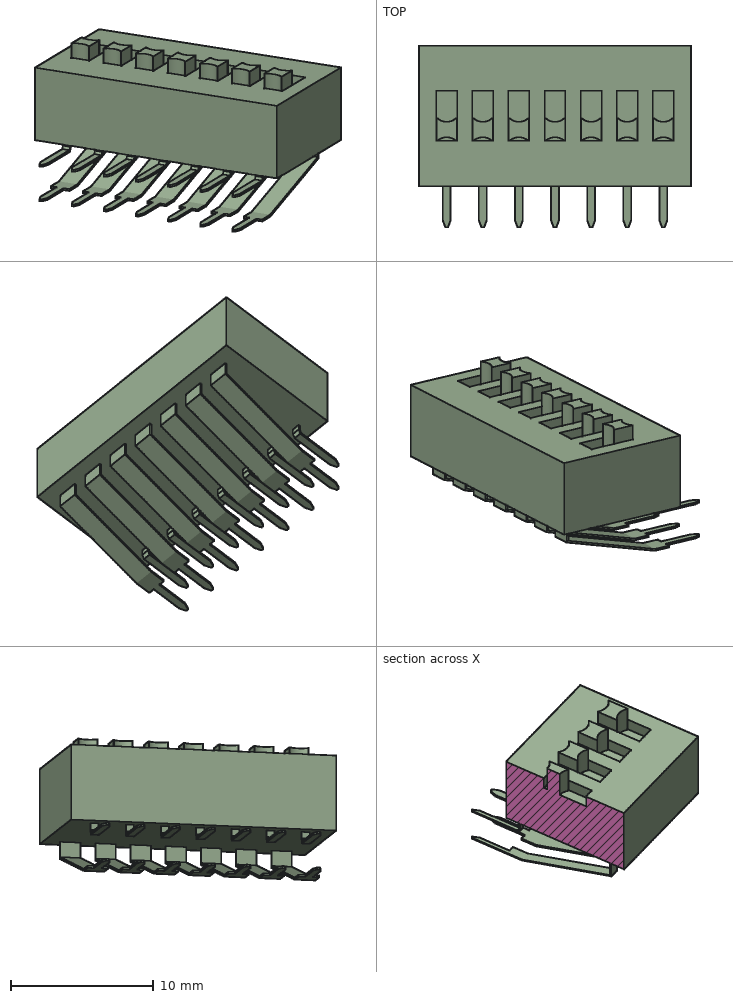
import cadquery as cq
import math

body_length = 19.14
body_width = 9.9
body_height = 5.37

switch_count = 7
pitch = 2.54

window_length = 3.52
window_width = 1.47
window_depth = 0.92

knob_length = 1.6
knob_clearance = 0.03
knob_rise = 1.05
knob_land = 0.04
knob_scoop = 0.26

lead_thickness = 0.15
lead_width = 0.57
tip_width = 0.19
tip_taper_length = 0.5
tip_overhang = 2.9
lead_embed = 0.5

wide_lead_width = 1.47
front_lead_y = -3.725
front_lead_bend_z = -0.5
front_lead_foot_y = -3.89
front_lead_drop = 0.83
rear_lead_y = 3.88
rear_lead_bend_z = -1.2
rear_lead_foot_y = -3.6
rear_lead_drop = 3.39
shoulder_y = -4.85

front_y = -body_width / 2
tip_y = front_y - tip_overhang
taper_y = tip_y + tip_taper_length
window_front_y = -window_length / 2
window_floor_z = body_height - window_depth
knob_width = window_width - 2 * knob_clearance
switch_xs = [(i - (switch_count - 1) / 2) * pitch for i in range(switch_count)]


def make_body():
    body = cq.Workplane("XY").box(body_length, body_width, body_height, centered=(True, True, False))
    windows = (
        cq.Workplane("XY", origin=(0, 0, window_floor_z))
        .pushPoints([(x, 0) for x in switch_xs])
        .rect(window_width, window_length)
        .extrude(window_depth)
    )
    return body.cut(windows)


def make_knob():
    """Slider knob standing at the front end of the window, with scooped front and back faces."""
    half_width = knob_width / 2
    half_scoop = half_width - knob_land
    back_y = window_front_y + knob_length
    return (
        cq.Workplane("XY", origin=(0, 0, window_floor_z))
        .moveTo(-half_width, window_front_y)
        .lineTo(-half_scoop, window_front_y)
        .threePointArc((0, window_front_y + knob_scoop), (half_scoop, window_front_y))
        .lineTo(half_width, window_front_y)
        .lineTo(half_width, back_y)
        .lineTo(half_scoop, back_y)
        .threePointArc((0, back_y - knob_scoop), (-half_scoop, back_y))
        .lineTo(-half_width, back_y)
        .close()
        .extrude(window_depth + knob_rise)
    )


def bent_strip(vertical_y, bend_z, foot_y, drop):
    """Side profile of a lead: down, sloping forward, then level to the tip, swept over the widest lead."""
    slope = math.atan2(drop + bend_z, vertical_y - foot_y)
    upper_miter = lead_thickness * math.tan((math.pi / 2 - slope) / 2)
    lower_miter = lead_thickness * math.tan(slope / 2)
    inner_y = vertical_y - lead_thickness
    inner_z = lead_thickness - drop
    outline = [
        (vertical_y, lead_embed),
        (vertical_y, bend_z),
        (foot_y, -drop),
        (tip_y, -drop),
        (tip_y, inner_z),
        (foot_y - lower_miter, inner_z),
        (inner_y, bend_z + upper_miter),
        (inner_y, lead_embed),
    ]
    return cq.Workplane("YZ").polyline(outline).close().extrude(wide_lead_width / 2, both=True)


def lead_plan(drop):
    """Prism of the narrow lead as seen from above, with its tapered tip."""
    half_lead = lead_width / 2
    half_tip = tip_width / 2
    outline = [
        (half_lead, body_width / 2),
        (half_lead, taper_y),
        (half_tip, tip_y),
        (-half_tip, tip_y),
        (-half_lead, taper_y),
        (-half_lead, body_width / 2),
    ]
    return cq.Workplane("XY", origin=(0, 0, -drop)).polyline(outline).close().extrude(drop + lead_embed)


def wide_plan(drop):
    """Prism of the wide part of the rear lead, from the back of the body to the shoulder."""
    length = body_width / 2 - shoulder_y
    return (
        cq.Workplane("XY", origin=(0, shoulder_y + length / 2, -drop))
        .rect(wide_lead_width, length)
        .extrude(drop + lead_embed)
    )


def make_front_lead():
    strip = bent_strip(front_lead_y, front_lead_bend_z, front_lead_foot_y, front_lead_drop)
    return strip.intersect(lead_plan(front_lead_drop))


def make_rear_lead():
    strip = bent_strip(rear_lead_y, rear_lead_bend_z, rear_lead_foot_y, rear_lead_drop)
    plan = wide_plan(rear_lead_drop).union(lead_plan(rear_lead_drop))
    return strip.intersect(plan)


result = make_body()
for feature in (make_knob(), make_front_lead(), make_rear_lead()):
    for x in switch_xs:
        result = result.union(feature.translate((x, 0, 0)))